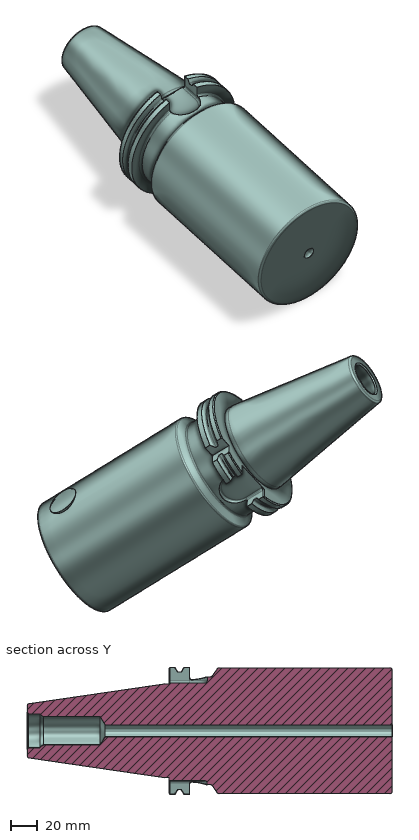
import cadquery as cq
import math

total_length = 270.7

gauge_x = 101.8
gauge_radius = 35.0
taper_slope = 7 / 24 / 2
small_end_radius = gauge_radius - taper_slope * gauge_x
small_end_fillet = 1.5

flange_front_x = gauge_x + 3.2
flange_back_x = gauge_x + 18.7
flange_radius = 48.7
front_chamfer = 0.8
groove_x = gauge_x + 11.0
groove_floor_radius = 45.5
groove_floor_half_width = 1.4
groove_fillet = 0.8
groove_mouth_half_width = groove_floor_half_width + (flange_radius - groove_floor_radius) * math.tan(
    math.radians(30)
)

neck_radius = 40.0
neck_fillet = 1.5
body_radius = 46.8
shoulder_start_x = 136.7
body_start_x = 141.3
shoulder_fillet = 1.4
end_fillet = 1.5

slot_width = 25.7
slot_floor_fillet = 1.5
top_slot_floor = 35.5
bottom_slot_floor = 37.0

notch_offset = 29.8

counterbore_radius = 12.5
counterbore_depth = 9.5
mouth_chamfer = 1.0
thread_radius = 10.3
thread_lead_in = 1.5
thread_lead_in_length = 2.7
thread_bottom_x = 54.1
through_radius = 4.3
drill_half_angle = math.radians(59)

screw_x = 246.3
screw_radius = 12.0
screw_length = 21.7
screw_bottom_y = body_radius - screw_length


def revolve_about_x(outline):
    return outline.close().revolve(360, (0, 0, 0), (1, 0, 0))


def round_circles(blank, positions, radius):
    """Fillet the circular edges whose planes stand at the given X positions."""
    circles = blank.edges("%CIRCLE").filter(
        lambda edge: any(math.isclose(edge.Center().x, x, abs_tol=0.0003) for x in positions)
    )
    return circles.fillet(radius)


def turned_blank():
    outline = (
        cq.Workplane("XZ")
        .moveTo(0, 0)
        .lineTo(0, small_end_radius)
        .lineTo(gauge_x, gauge_radius)
        .lineTo(flange_front_x, gauge_radius)
        .lineTo(flange_front_x, flange_radius - front_chamfer)
        .lineTo(flange_front_x + front_chamfer, flange_radius)
        .lineTo(groove_x - groove_mouth_half_width, flange_radius)
        .lineTo(groove_x - groove_floor_half_width, groove_floor_radius)
        .lineTo(groove_x + groove_floor_half_width, groove_floor_radius)
        .lineTo(groove_x + groove_mouth_half_width, flange_radius)
        .lineTo(flange_back_x, flange_radius)
        .lineTo(flange_back_x, neck_radius + neck_fillet)
        .radiusArc((flange_back_x + neck_fillet, neck_radius), -neck_fillet)
        .lineTo(shoulder_start_x, neck_radius)
        .lineTo(body_start_x, body_radius)
        .lineTo(total_length, body_radius)
        .lineTo(total_length, 0)
    )
    blank = revolve_about_x(outline)
    groove_floor_ends = (groove_x - groove_floor_half_width, groove_x + groove_floor_half_width)
    blank = round_circles(blank, (0,), small_end_fillet)
    blank = round_circles(blank, groove_floor_ends, groove_fillet)
    blank = round_circles(blank, (shoulder_start_x, body_start_x), shoulder_fillet)
    return round_circles(blank, (total_length,), end_fillet)


def drive_slot(floor_height):
    """Cutter above z = floor_height: flared at the flange front, full radius at the back, rounded floor."""
    half_width = slot_width / 2
    cutter = (
        cq.Workplane("XY", origin=(0, 0, floor_height))
        .moveTo(flange_front_x, -half_width)
        .lineTo(flange_back_x, -half_width)
        .threePointArc((flange_back_x + half_width, 0), (flange_back_x, half_width))
        .lineTo(flange_front_x, half_width)
        .close()
        .extrude(flange_radius - floor_height)
    )
    cutter = cutter.faces("<Z").edges("not <X").fillet(slot_floor_fillet)
    flare = (
        cq.Workplane("XY", origin=(0, 0, floor_height))
        .moveTo(flange_front_x, -half_width - front_chamfer)
        .lineTo(flange_front_x + front_chamfer, -half_width)
        .lineTo(flange_front_x + front_chamfer, half_width)
        .lineTo(flange_front_x, half_width + front_chamfer)
        .close()
        .extrude(flange_radius - floor_height)
    )
    return cutter.union(flare)


def rim_notch():
    reach = flange_radius - notch_offset
    return cq.Workplane("XY", origin=(flange_front_x, notch_offset, -flange_radius)).box(
        flange_back_x - flange_front_x, reach, reach, centered=False
    )


def drawbar_socket():
    """Axial cutter: chamfered counterbore, thread core with a drill-point bottom, through hole."""
    drill_point_length = (thread_radius - through_radius) / math.tan(drill_half_angle)
    outline = (
        cq.Workplane("XZ")
        .moveTo(0, 0)
        .lineTo(0, counterbore_radius + mouth_chamfer)
        .lineTo(mouth_chamfer, counterbore_radius)
        .lineTo(counterbore_depth, counterbore_radius)
        .lineTo(counterbore_depth, thread_radius + thread_lead_in)
        .lineTo(counterbore_depth + thread_lead_in_length, thread_radius)
        .lineTo(thread_bottom_x, thread_radius)
        .lineTo(thread_bottom_x + drill_point_length, through_radius)
        .lineTo(total_length, through_radius)
        .lineTo(total_length, 0)
    )
    return revolve_about_x(outline)


def screw_cylinder():
    """Cylinder along Y whose flat outer end is level with the crest of the body."""
    return cq.Workplane("XZ", origin=(screw_x, screw_bottom_y, 0)).circle(screw_radius).extrude(-screw_length)


def make_holder():
    top_slot = drive_slot(top_slot_floor)
    bottom_slot = drive_slot(bottom_slot_floor).mirror("XY")
    return (
        turned_blank()
        .cut(top_slot)
        .cut(bottom_slot)
        .cut(rim_notch())
        .cut(drawbar_socket())
        .cut(screw_cylinder())
    )


holder = make_holder()
clamping_screw = screw_cylinder()

result = cq.Compound.makeCompound([holder.solids().val(), clamping_screw.val()])